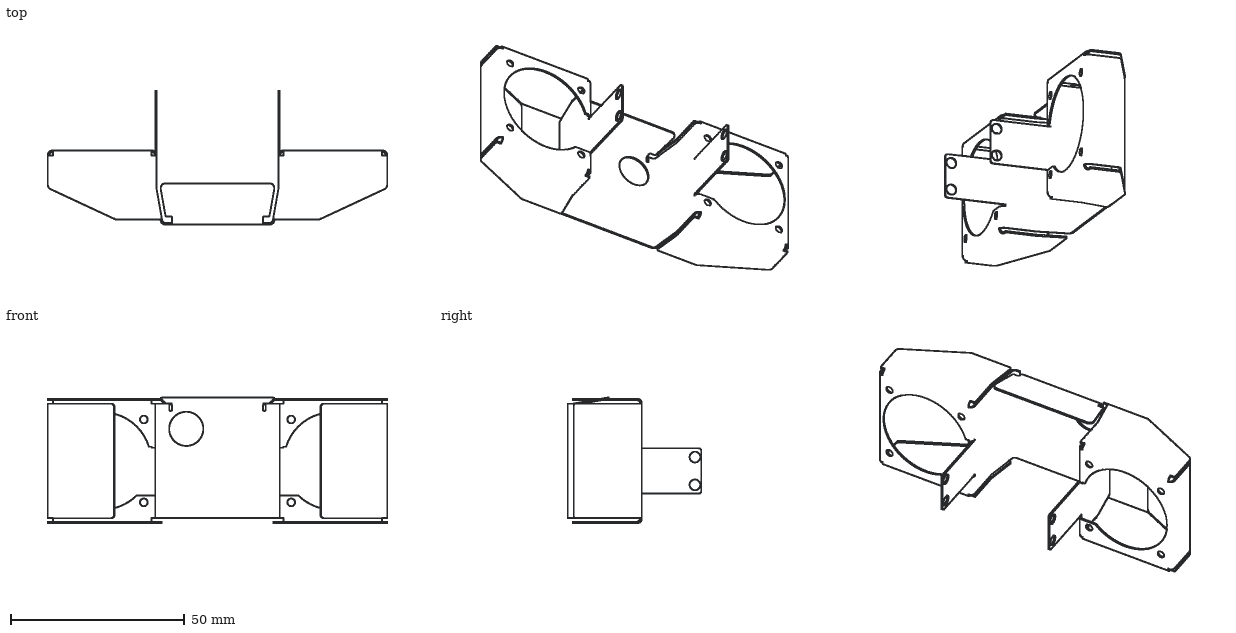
import cadquery as cq
import math

thickness = 0.5
inner_bend = 1.0
outer_bend = inner_bend + thickness
mid_bend = inner_bend + thickness / 2

half_width = 49.0
depth = 38.6
wing_height = 36.0
mid_height = wing_height / 2
wall_bottom = outer_bend
wall_top = wing_height - outer_bend
wall_height = wall_top - wall_bottom

lean = math.radians(10)
wing_slope = math.radians(25)
side_inner_x = 17.55
side_x = side_inner_x + thickness / 2
side_kink_y = 10.3
front_y = thickness / 2
front_corner_x = side_x - (side_kink_y - front_y) * math.tan(lean)
back_face_y = 21.5
back_y = back_face_y - thickness / 2
end_x = half_width - thickness / 2
wing_kink_y = 10.8
wing_panel_end_x = 29.8
wing_panel_end_y = wing_kink_y - (end_x - wing_panel_end_x) * math.tan(wing_slope)
wing_panel_corner = 1.0

cover_front_y = 1.5
cover_front_x = 29.4
cover_kink_y = cover_front_y + (half_width - cover_front_x) * math.tan(wing_slope)
cover_back_y = back_face_y - outer_bend
cover_tip_corner = 0.5
cover_tip_x = side_inner_x - (side_kink_y - cover_front_y) * math.tan(lean)
cover_bend_inner_x = side_inner_x + outer_bend
cover_bend_outer_x = half_width - outer_bend

fan_x = 33.2
fan_radius = 14.0
fan_hole_pitch = 23.9
fan_hole_diameter = 2.2

arm_bottom = 8.5
arm_top = 21.7
arm_height = arm_top - arm_bottom
arm_hole_diameter = 3.0
arm_hole_pitch = 8.0
arm_hole_inset = 1.9
arm_corner = 0.8
notch_bottom = arm_bottom - thickness
notch_bend_top = arm_top + 0.1
notch_flat_top = arm_top + 0.4

port_x = -9.0
port_z = 27.3
port_diameter = 9.8

flange_bend_half = 13.1
flange_front_half = 15.0
flange_shoulder = 2.2
flange_length = 11.9
flange_back_corner = 1.5
flange_shoulder_corner = 0.4
flange_bend_z = wall_top - outer_bend
slot_width = 0.8
slot_bottom = 32.5


def folded_strip(plane, points, width):
    """Sheet folded along a mid-thickness polyline, centred on the plane."""
    path = cq.Wire.makePolygon([plane.toWorldCoords(point) for point in points])
    path = path.fillet(mid_bend, path.Vertices()[1:-1])
    start = cq.Plane(path.startPoint(), plane.zDir, path.tangentAt(0))
    return cq.Workplane(start).rect(width, thickness).sweep(cq.Workplane(path))


def box(x_range, y_range, z_range):
    sizes = [high - low for low, high in (x_range, y_range, z_range)]
    corner = (x_range[0], y_range[0], z_range[0])
    return cq.Workplane().box(*sizes, centered=False).translate(corner)


def folded_wall():
    """Right half of the wall: front panel, side wall, back panel, end wall and slanted wing panel."""
    plane = cq.Plane((0, 0, mid_height), (1, 0, 0), (0, 0, 1))
    corners = [
        (0, front_y),
        (front_corner_x, front_y),
        (side_x, side_kink_y),
        (side_x, back_y),
        (end_x, back_y),
        (end_x, wing_kink_y),
        (wing_panel_end_x, wing_panel_end_y),
    ]
    wall = folded_strip(plane, corners, wall_height)
    free_end = cq.selectors.BoxSelector(
        (wing_panel_end_x - thickness, 0, 0),
        (wing_panel_end_x + thickness, wing_panel_end_y + thickness, wing_height),
    )
    end_corners = wall.edges(free_end).filter(lambda edge: edge.Length() < 2 * thickness)
    return end_corners.fillet(wing_panel_corner)


def fan_cutout():
    """Round opening, screw holes and the notch that frees the arm from the back panel."""
    y_range = (back_face_y - outer_bend, back_face_y)
    back = cq.Workplane("XZ", origin=(fan_x, back_face_y, mid_height))
    opening = back.circle(fan_radius).extrude(outer_bend)
    holes = back.rect(fan_hole_pitch, fan_hole_pitch, forConstruction=True).vertices()
    holes = holes.circle(fan_hole_diameter / 2).extrude(outer_bend)
    bend_notch = box((0, fan_x), y_range, (notch_bottom, notch_bend_top))
    flat_notch = box((cover_bend_inner_x, fan_x), y_range, (notch_bottom, notch_flat_top))
    return opening.union(holes).union(bend_notch).union(flat_notch)


def arm():
    """Flat tongue that continues the side wall to the rear."""
    y_start = back_face_y - outer_bend
    x_range = (side_inner_x, side_inner_x + thickness)
    plate = box(x_range, (y_start, depth), (arm_bottom, arm_top)).edges("|X and >Y").fillet(arm_corner)
    hole_y = depth - arm_hole_inset
    hole_plane = cq.Workplane("YZ", origin=(side_inner_x, hole_y, arm_bottom + arm_height / 2))
    holes = hole_plane.rarray(1, arm_hole_pitch, 1, 2).circle(arm_hole_diameter / 2).extrude(thickness)
    return plate.cut(holes)


def top_cover():
    """Cover plate of a wing, with the bend that joins it to the back panel."""
    z_mid = wing_height - thickness / 2
    bend_mid_x = (cover_bend_inner_x + cover_bend_outer_x) / 2
    plane = cq.Plane((bend_mid_x, 0, 0), (0, 1, 0), (1, 0, 0))
    bend_path = [(back_y, wall_top - thickness), (back_y, z_mid), (cover_back_y - thickness, z_mid)]
    bend = folded_strip(plane, bend_path, cover_bend_outer_x - cover_bend_inner_x)
    outline = [
        (half_width, cover_back_y),
        (half_width, cover_kink_y),
        (cover_front_x, cover_front_y),
        (cover_tip_x, cover_front_y),
        (side_inner_x, side_kink_y),
        (side_inner_x, cover_back_y),
    ]
    plate = cq.Workplane(origin=(0, 0, wing_height - thickness)).polyline(outline).close().extrude(thickness)
    kink = cq.selectors.NearestToPointSelector((half_width, cover_kink_y, z_mid))
    tip = cq.selectors.NearestToPointSelector((cover_tip_x, cover_front_y, z_mid))
    plate = plate.edges(kink).fillet(outer_bend).edges(tip).fillet(cover_tip_corner)
    return plate.union(bend)


def flange_slots():
    """Round-ended relief slots on both sides of the flange bend."""
    slot_x = flange_bend_half + slot_width / 2
    length = 2 * (wall_top - slot_bottom)
    front = cq.Workplane("XZ", origin=(0, 0, wall_top)).pushPoints([(-slot_x, 0), (slot_x, 0)])
    return front.slot2D(length, slot_width, 90).extrude(-thickness)


def round_flange_corners(trim, slope, distance, radius):
    """Round the outline corners that lie at one distance along the slope."""
    corners = trim.edges(cq.selectors.ParallelDirSelector(slope.zDir))
    corners = corners.filter(lambda edge: abs(slope.toLocalCoords(edge.Center()).y - distance) < thickness)
    return corners.fillet(radius)


def flange():
    """Bend and tilted plate above the front panel, trimmed parallel to the side walls."""
    plane = cq.Plane((0, 0, 0), (0, 1, 0), (1, 0, 0))
    bend_height = mid_bend * math.tan((math.pi / 2 - lean) / 2)
    corner_z = flange_bend_z + bend_height
    reach = 2 * flange_length
    path = [
        (front_y, flange_bend_z - thickness),
        (front_y, corner_z),
        (front_y + reach * math.cos(lean), corner_z + reach * math.sin(lean)),
    ]
    sheet = folded_strip(plane, path, 2 * half_width)
    back_half = flange_front_half + (flange_length - flange_shoulder) * math.tan(lean)
    half_outline = [
        (flange_bend_half, -outer_bend),
        (flange_bend_half, flange_shoulder),
        (flange_front_half, flange_shoulder),
        (back_half, flange_length),
    ]
    outline = half_outline + [(-x, y) for x, y in reversed(half_outline)]
    slope = cq.Plane((0, front_y, corner_z), (1, 0, 0), (0, -math.sin(lean), math.cos(lean)))
    trim = cq.Workplane(slope).polyline(outline).close().extrude(depth, both=True)
    trim = round_flange_corners(trim, slope, flange_length, flange_back_corner)
    trim = round_flange_corners(trim, slope, flange_shoulder, flange_shoulder_corner)
    return sheet.intersect(trim)


half = folded_wall().cut(fan_cutout()).union(arm())
cover = top_cover()
half = half.union(cover).union(cover.mirror("XY", (0, 0, mid_height)))
body = half.union(half.mirror("YZ"))

flange_gap = box((-flange_bend_half, flange_bend_half), (0, thickness), (flange_bend_z, wall_top))
port = cq.Workplane("XZ", origin=(port_x, 0, port_z)).circle(port_diameter / 2).extrude(-thickness)
result = body.cut(flange_gap).cut(flange_slots()).cut(port).union(flange())